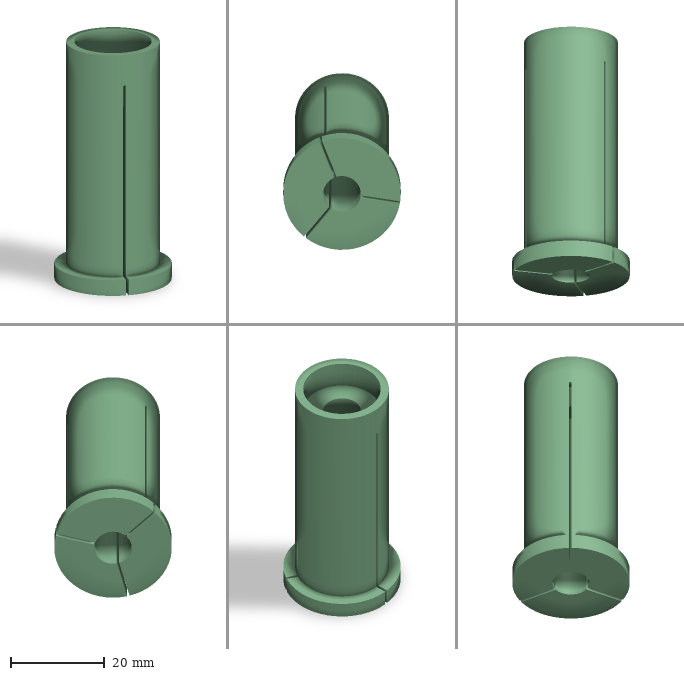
import cadquery as cq

total_height = 52.9
flange_diameter = 25.0
flange_height = 3.5
sleeve_diameter = 20.0
bore_diameter = 8.0
slot_count = 3
slot_width = 0.6
slot_top_gap = 6.8
first_slot_angle = 90.0

ring_diameter = 16.5
ring_thickness = 6.0
ring_recess = 6.05

slot_height = total_height - slot_top_gap
seat_height = total_height - ring_recess - ring_thickness


def cylinder(diameter, bottom, top):
    """Upright cylinder on the Z axis between two heights."""
    return cq.Workplane("XY").workplane(offset=bottom).circle(diameter / 2).extrude(top - bottom)


def radial_slot(angle):
    """Cutter for one slot, running from the axis out past the flange's rim."""
    return (
        cq.Workplane("XY")
        .box(flange_diameter, slot_width, slot_height, centered=(False, True, False))
        .rotate((0, 0, 0), (0, 0, 1), angle)
    )


def make_sleeve():
    """Flanged tube with a counterbored top, split from below by radial slots."""
    sleeve = cylinder(flange_diameter, 0, flange_height)
    sleeve = sleeve.union(cylinder(sleeve_diameter, 0, total_height))
    sleeve = sleeve.cut(cylinder(bore_diameter, 0, total_height))
    sleeve = sleeve.cut(cylinder(ring_diameter, seat_height, total_height))
    for index in range(slot_count):
        sleeve = sleeve.cut(radial_slot(first_slot_angle + index * 360 / slot_count))
    return sleeve


def make_ring():
    """Plain unslotted ring that rests on the counterbore's floor."""
    ring = cylinder(ring_diameter, seat_height, seat_height + ring_thickness)
    return ring.cut(cylinder(bore_diameter, 0, total_height))


sleeve = make_sleeve()
ring = make_ring()

result = cq.Compound.makeCompound([sleeve.val(), ring.val()])